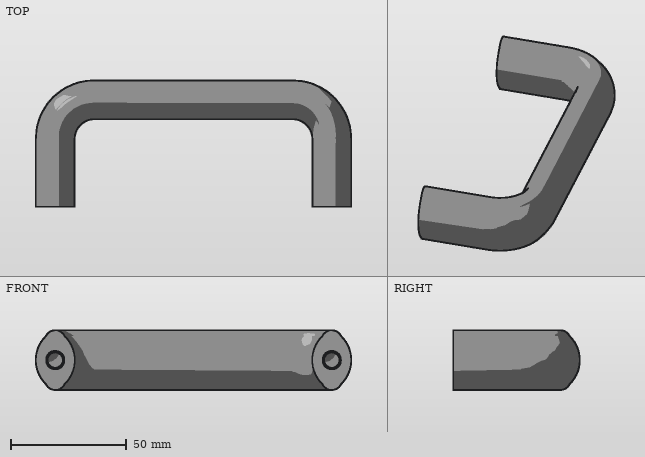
import cadquery as cq
import math


hole_spacing = 120.0
handle_depth = 55.0
bar_width = 17.0
bar_height = 26.0
bend_radius = 17.0

tip_half_width = 4.0
tip_start_height = 10.5

hole_diameter = 6.65
hole_mouth_diameter = 8.0
hole_depth = 15.0
drill_point_angle = 118.0

half_width = bar_width / 2
half_height = bar_height / 2
half_spacing = hole_spacing / 2
grip_y = handle_depth - half_width
leg_length = grip_y - bend_radius
grip_end_x = half_spacing - bend_radius
bend_offset = bend_radius * math.sin(math.radians(45))


def make_path():
    """U-shaped centreline: leg, bend, grip, bend, leg."""
    return (
        cq.Workplane("XY")
        .moveTo(-half_spacing, 0)
        .lineTo(-half_spacing, leg_length)
        .threePointArc((-grip_end_x - bend_offset, leg_length + bend_offset), (-grip_end_x, grip_y))
        .lineTo(grip_end_x, grip_y)
        .threePointArc((grip_end_x + bend_offset, leg_length + bend_offset), (half_spacing, leg_length))
        .lineTo(half_spacing, 0)
    )


def make_bar():
    """Pointed-oval section swept along the U path."""
    section = (
        cq.Workplane("XZ", origin=(-half_spacing, 0, 0))
        .moveTo(tip_half_width, -tip_start_height)
        .threePointArc((half_width, 0), (tip_half_width, tip_start_height))
        .threePointArc((0, half_height), (-tip_half_width, tip_start_height))
        .threePointArc((-half_width, 0), (-tip_half_width, -tip_start_height))
        .threePointArc((0, -half_height), (tip_half_width, -tip_start_height))
        .close()
    )
    return section.sweep(make_path())


def make_hole(x):
    """Blind drilled hole with a 45 degree countersunk mouth and a conical bottom."""
    hole_radius = hole_diameter / 2
    mouth_radius = hole_mouth_diameter / 2
    mouth_depth = mouth_radius - hole_radius
    point_length = hole_radius / math.tan(math.radians(drill_point_angle / 2))
    half_outline = (
        cq.Workplane("XY", origin=(x, 0, 0))
        .lineTo(mouth_radius, 0)
        .lineTo(hole_radius, mouth_depth)
        .lineTo(hole_radius, hole_depth)
        .lineTo(0, hole_depth + point_length)
        .close()
    )
    return half_outline.revolve(360, (0, 0, 0), (0, 1, 0))


result = make_bar()
for side in (-1, 1):
    result = result.cut(make_hole(side * half_spacing))